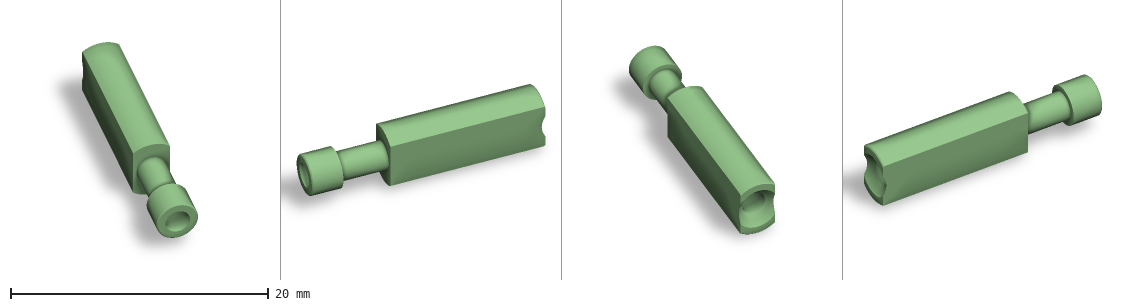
import cadquery as cq

total_length = 19.6
body_length = 13.0
head_length = 2.6
body_diameter = 5.0
body_width = 3.0
neck_diameter = 2.4
head_diameter = 3.4
bore_diameter = 2.0
countersink_diameter = 3.6
countersink_angle = 90.0
edge_chamfer = 0.1

head_start = total_length - head_length


def cylinder_along_x(diameter, start, end):
    return cq.Workplane("YZ", origin=(start, 0, 0)).circle(diameter / 2).extrude(end - start)


flat_envelope = cq.Workplane("XY").box(
    body_length, body_width, body_diameter, centered=(False, True, True)
)
body = cylinder_along_x(body_diameter, 0, body_length)
body = body.faces("<X").chamfer(edge_chamfer).intersect(flat_envelope)

neck = cylinder_along_x(neck_diameter, body_length, head_start)
head = cylinder_along_x(head_diameter, head_start, total_length)
head = head.faces(">X").chamfer(edge_chamfer)

result = (
    body.union(neck)
    .union(head)
    .faces("<X")
    .workplane(origin=(0, 0, 0))
    .cskHole(bore_diameter, countersink_diameter, countersink_angle)
)